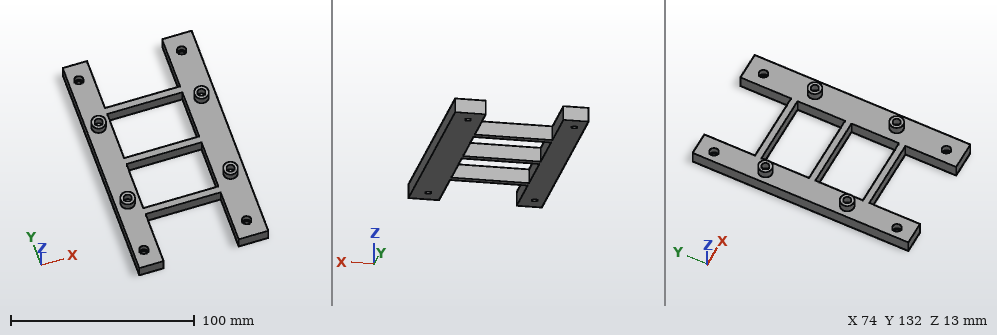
import cadquery as cq

width = 74.0
length = 132.0
total_height = 13.0
frame_height = 8.0
left_rail_width = 14.0
right_rail_width = 17.0

rung_thickness = 4.0
rung_pitch = 33.0

mount_left_x = 6.0
mount_spacing_x = 59.0
mount_end_offset = 10.0
mount_hole_diameter = 3.2
counterbore_diameter = 5.1
counterbore_depth = 4.0

standoff_left_x = 7.0
standoff_spacing_x = 59.0
standoff_spacing_y = 50.0
standoff_diameter = 8.0
standoff_bore_diameter = 4.4
standoff_height = total_height - frame_height


def four_points(left_x, spacing_x, spacing_y):
    """Rectangle of points centred along the frame's length."""
    return [
        (left_x + column * spacing_x, length / 2 + side * spacing_y / 2)
        for column in (0, 1)
        for side in (-1, 1)
    ]


def make_rail(start_x, rail_width):
    return cq.Workplane("XY").box(rail_width, length, frame_height, centered=False).translate((start_x, 0, 0))


def make_rung(center_y):
    rung_length = width - left_rail_width - right_rail_width
    rung = cq.Workplane("XY").box(rung_length, rung_thickness, frame_height, centered=False)
    return rung.translate((left_rail_width, center_y - rung_thickness / 2, 0))


def make_frame():
    frame = make_rail(0, left_rail_width)
    right_rail = make_rail(width - right_rail_width, right_rail_width)
    rungs = [make_rung(length / 2 + step * rung_pitch) for step in (-1, 0, 1)]
    for piece in rungs + [right_rail]:
        frame = frame.union(piece)
    return frame


def add_standoffs(frame):
    standoffs = (
        cq.Workplane("XY", origin=(0, 0, frame_height))
        .pushPoints(four_points(standoff_left_x, standoff_spacing_x, standoff_spacing_y))
        .circle(standoff_diameter / 2)
        .circle(standoff_bore_diameter / 2)
        .extrude(standoff_height)
    )
    return frame.union(standoffs)


def cut_mounting_holes(frame):
    mount_spacing_y = length - 2 * mount_end_offset
    return (
        frame.copyWorkplane(cq.Workplane("XY", origin=(0, 0, frame_height)))
        .pushPoints(four_points(mount_left_x, mount_spacing_x, mount_spacing_y))
        .cboreHole(mount_hole_diameter, counterbore_diameter, counterbore_depth)
    )


result = cut_mounting_holes(add_standoffs(make_frame()))